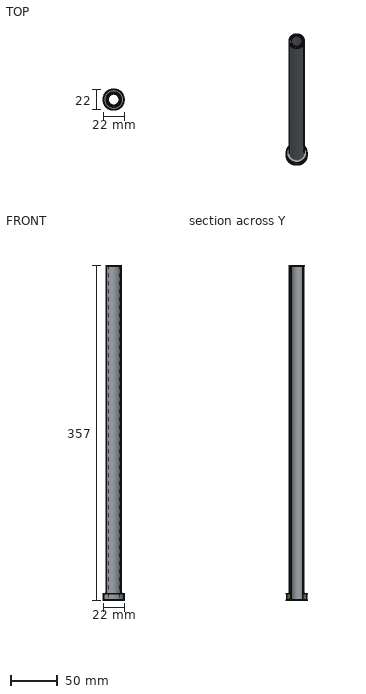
import cadquery as cq

total_length = 357.0
head_diameter = 22.0
head_height = 7.0
tube_diameter = 16.0
bore_diameter = 12.0
neck_fillet = 0.6

head = cq.Workplane("XY").circle(head_diameter / 2).extrude(head_height)

tube = cq.Workplane("XY").circle(tube_diameter / 2).extrude(total_length)
neck_edge = cq.selectors.RadiusNthSelector(0)
sleeve = head.union(tube)
sleeve = sleeve.faces("<Z[1]").edges(neck_edge).fillet(neck_fillet)

bore = cq.Workplane("XY").circle(bore_diameter / 2).extrude(total_length)

result = sleeve.cut(bore)